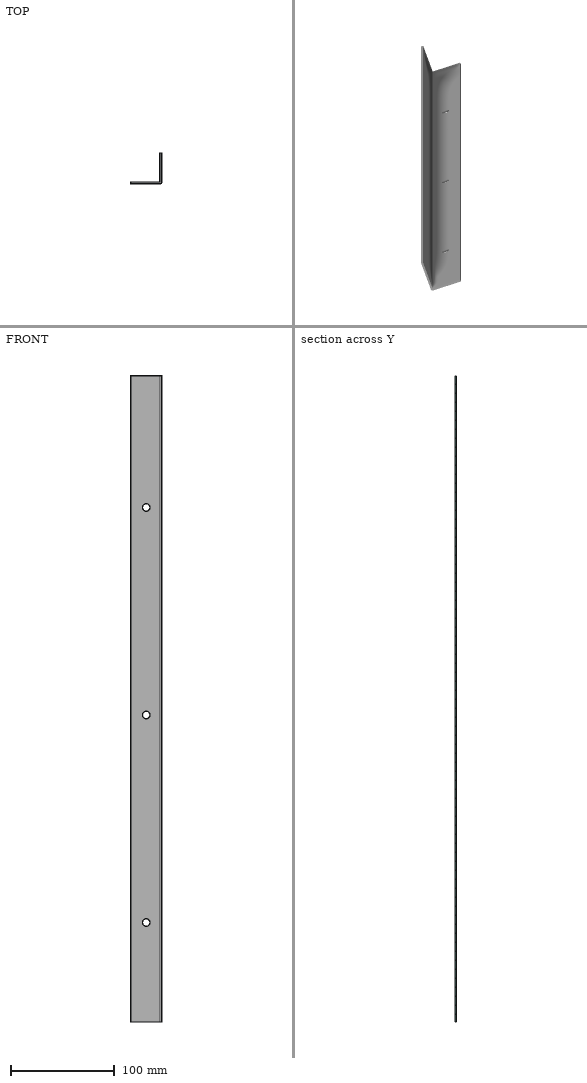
import cadquery as cq

LEG = 30.0
LENGTH = 623.0
THICKNESS = 2.0
HOLE_DIAMETER = 7.0
HOLE_SPACING = 200.0
HOLE_COUNT = 3
FIRST_HOLE_HEIGHT = 96.0

OUTER_CORNER_RADIUS = THICKNESS
HOLE_X = LEG / 2


def make_angle():
    """Bent sheet angle: front leg on -Y, side leg on +X, standing along Z."""
    outer_corner = LEG - OUTER_CORNER_RADIUS
    inner_face_x = LEG - THICKNESS
    profile = (
        cq.Workplane("XY")
        .moveTo(0, 0)
        .lineTo(outer_corner, 0)
        .radiusArc((LEG, OUTER_CORNER_RADIUS), -OUTER_CORNER_RADIUS)
        .lineTo(LEG, LEG)
        .lineTo(inner_face_x, LEG)
        .lineTo(inner_face_x, THICKNESS)
        .lineTo(0, THICKNESS)
        .close()
    )
    return profile.extrude(LENGTH)


def cut_front_holes(body):
    """Cut the evenly spaced row of holes through the front leg."""
    for index in range(HOLE_COUNT):
        height = FIRST_HOLE_HEIGHT + index * HOLE_SPACING
        hole = (
            cq.Workplane("XZ")
            .center(HOLE_X, height)
            .circle(HOLE_DIAMETER / 2)
            .extrude(-THICKNESS)
        )
        body = body.cut(hole)
    return body


result = cut_front_holes(make_angle())